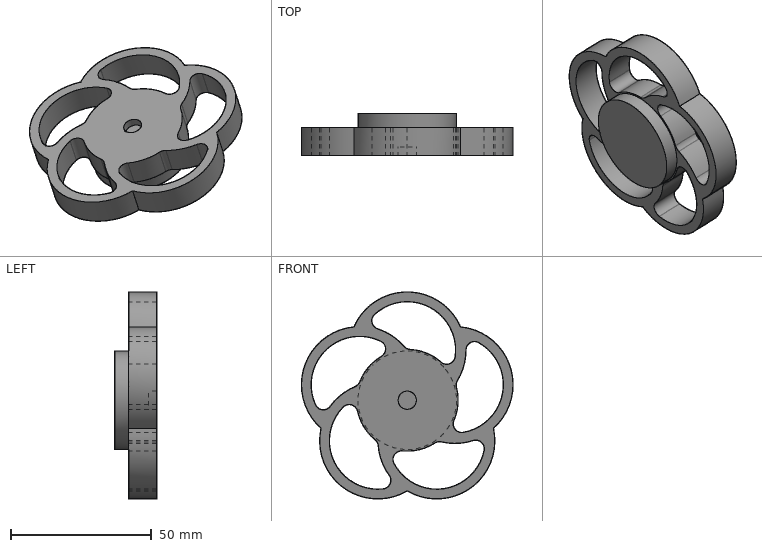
import cadquery as cq
import math

lobe_count = 5
lobe_radius = 20.7
lobe_offset = 17.8
rim_width = 3.5
spoke_radius = 20.9
plate_thickness = 10.0

hub_radius = 18.1
boss_radius = 17.5
boss_height = 5.0

bore_radius = 3.2
bore_depth = 3.0

window_fillet = 3.0
lobe_pitch = 360 / lobe_count
first_lobe_angle = 90


def cylinder(radius, length, x=0, z=0, start_y=0):
    """Cylinder along +Y that starts at start_y."""
    return cq.Workplane("XZ", origin=(x, start_y, z)).circle(radius).extrude(-length)


def lobe_disc(index, radius):
    """Disc of plate thickness centred on one lobe."""
    angle = math.radians(first_lobe_angle + index * lobe_pitch)
    x = lobe_offset * math.cos(angle)
    z = lobe_offset * math.sin(angle)
    return cylinder(radius, plate_thickness, x, z)


def lobe_window(index):
    """Inside of a lobe, cut back by the next spoke circle and by the hub."""
    window = lobe_disc(index, lobe_radius - rim_width)
    window = window.cut(lobe_disc(index + 1, spoke_radius))
    window = window.cut(cylinder(hub_radius, plate_thickness))
    return window.clean().edges("|Y").fillet(window_fillet)


plate = cylinder(hub_radius, plate_thickness)
for index in range(lobe_count):
    plate = plate.union(lobe_disc(index, lobe_radius))

for index in range(lobe_count):
    plate = plate.cut(lobe_window(index))

boss = cylinder(boss_radius, boss_height, start_y=plate_thickness)
bore = cylinder(bore_radius, bore_depth)

result = plate.union(boss).cut(bore)